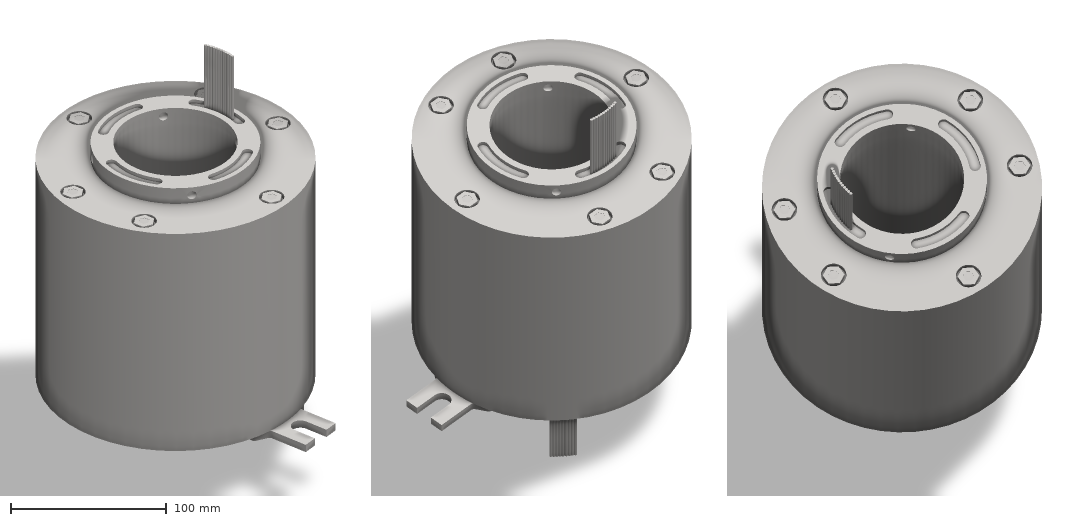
import cadquery as cq
import math

body_diameter = 180.0
body_height = 166.6
flange_diameter = 109.2
flange_height = 12.0
bore_diameter = 80.0
top_z = body_height + flange_height

slot_count = 4
slot_radius = 48.0
slot_width = 7.1
slot_half_angle = 22.4
slot_depth = 3.0

set_screw_diameter = 6.0
set_screw_count = 4
set_screw_first_angle = 48

bolt_radius = 77.2
bolt_offset_angle = 68.3
bolt_angles = [start + turn for start in (0, 180) for turn in (-bolt_offset_angle, 0, bolt_offset_angle)]
counterbore_diameter = 16.5
counterbore_depth = 4.0
bolt_head_flats = 12.2
bolt_socket_flats = 6.3
bolt_socket_depth = 0.3

wire_diameter = 1.95
wire_pitch = 1.98
wire_embed = 2.6
top_wire_count = 12
top_wire_length = 46.0
top_wire_angle = 90
bottom_wire_count = 9
bottom_wire_length = 40.0
bottom_wire_radius = 82.3
bottom_wire_angle = 49.9

plate_thickness = 5.5
plate_back_x = 67.7
plate_back_half_width = 18.8
shoulder_x = 81.7
shoulder_flare_angle = 30
fork_tip_x = 116.6
fork_width = 32.0
fork_slot_width = 12.5
fork_slot_end_x = 94.2
plate_corner_radius = 3.0


def polar_point(radius, angle):
    turn = math.radians(angle)
    return (radius * math.cos(turn), radius * math.sin(turn))


def cylinder(diameter, height, base_z):
    return cq.Workplane("XY").workplane(offset=base_z).circle(diameter / 2).extrude(height)


def make_housing():
    housing = cylinder(body_diameter, body_height, 0)
    housing = housing.union(cylinder(flange_diameter, flange_height, body_height))
    return housing.cut(cylinder(bore_diameter, top_z, 0))


def curved_slot(mid_angle):
    """Cutter for one slot that follows the flange, with rounded ends."""
    inner = slot_radius - slot_width / 2
    outer = slot_radius + slot_width / 2
    start = mid_angle - slot_half_angle
    end = mid_angle + slot_half_angle
    end_reach = math.degrees(slot_width / 2 / slot_radius)
    return (
        cq.Workplane("XY")
        .workplane(offset=top_z - slot_depth)
        .moveTo(*polar_point(outer, start))
        .threePointArc(polar_point(outer, mid_angle), polar_point(outer, end))
        .threePointArc(polar_point(slot_radius, end + end_reach), polar_point(inner, end))
        .threePointArc(polar_point(inner, mid_angle), polar_point(inner, start))
        .threePointArc(polar_point(slot_radius, start - end_reach), polar_point(outer, start))
        .close()
        .extrude(slot_depth)
    )


def set_screw_hole(angle):
    """Cutter for one radial hole at mid-height of the flange."""
    return (
        cq.Workplane("YZ")
        .center(0, body_height + flange_height / 2)
        .circle(set_screw_diameter / 2)
        .extrude(flange_diameter / 2)
        .rotate((0, 0, 0), (0, 0, 1), angle)
    )


def hexagon(flats, height, base_z):
    across_corners = flats / math.cos(math.radians(30))
    return cq.Workplane("XY").workplane(offset=base_z).polygon(6, across_corners).extrude(height)


def bolt_recess(angle):
    """Cutter that leaves a socketed hexagonal head standing in its counterbore."""
    floor_z = body_height - counterbore_depth
    recess = cylinder(counterbore_diameter, counterbore_depth, floor_z)
    recess = recess.cut(hexagon(bolt_head_flats, counterbore_depth, floor_z))
    socket = hexagon(bolt_socket_flats, bolt_socket_depth, body_height - bolt_socket_depth)
    return recess.union(socket).translate((*polar_point(bolt_radius, angle), 0))


def wire_bundle(count, arc_radius, mid_angle, base_z, length):
    pitch_angle = math.degrees(wire_pitch / arc_radius)
    first_angle = mid_angle - pitch_angle * (count - 1) / 2
    centres = [polar_point(arc_radius, first_angle + i * pitch_angle) for i in range(count)]
    return (
        cq.Workplane("XY")
        .workplane(offset=base_z)
        .pushPoints(centres)
        .circle(wire_diameter / 2)
        .extrude(length)
    )


def make_fork_plate():
    flare = math.tan(math.radians(shoulder_flare_angle))
    half_fork = fork_width / 2
    shoulder_y = plate_back_half_width + (shoulder_x - plate_back_x) * flare
    neck_x = shoulder_x + (shoulder_y - half_fork) * flare
    upper_side = [
        (plate_back_x, plate_back_half_width),
        (shoulder_x, shoulder_y),
        (neck_x, half_fork),
        (fork_tip_x, half_fork),
    ]
    lower_side = [(x, -y) for x, y in reversed(upper_side)]
    plate = (
        cq.Workplane("XY")
        .workplane(offset=-plate_thickness)
        .polyline(upper_side + lower_side)
        .close()
        .extrude(plate_thickness)
    )
    plate = plate.edges("|Z and (not >X)").fillet(plate_corner_radius)

    slot_centre_x = fork_slot_end_x + fork_slot_width / 2
    slot_length = fork_tip_x - slot_centre_x
    round_end = cylinder(fork_slot_width, plate_thickness, -plate_thickness).translate((slot_centre_x, 0, 0))
    straight_part = (
        cq.Workplane("XY")
        .box(slot_length, fork_slot_width, plate_thickness, centered=(False, True, False))
        .translate((slot_centre_x, 0, -plate_thickness))
    )
    return plate.cut(round_end).cut(straight_part)


result = make_housing()
for index in range(slot_count):
    result = result.cut(curved_slot(index * 360 / slot_count))
for index in range(set_screw_count):
    result = result.cut(set_screw_hole(set_screw_first_angle + index * 360 / set_screw_count))
for angle in bolt_angles:
    result = result.cut(bolt_recess(angle))
result = result.union(make_fork_plate())

top_wire_base = top_z - slot_depth - wire_embed
top_wires = wire_bundle(
    top_wire_count,
    slot_radius,
    top_wire_angle,
    top_wire_base,
    top_wire_length + slot_depth + wire_embed,
)
bottom_wires = wire_bundle(
    bottom_wire_count,
    bottom_wire_radius,
    bottom_wire_angle,
    -bottom_wire_length,
    bottom_wire_length + wire_embed,
)
result = result.union(top_wires).union(bottom_wires)